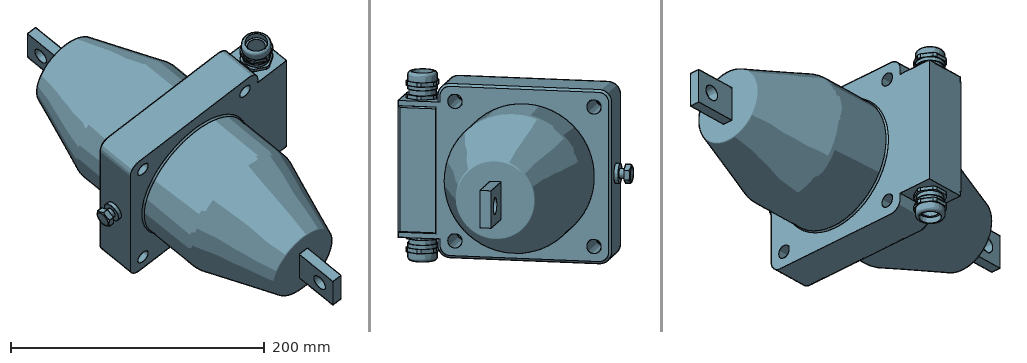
import cadquery as cq

body_length = 270.0
barrel_length = 128.7
barrel_radius = 56.5
tip_radius = 32.0
shoulder_fillet = 10.0
tip_fillet = 1.5

bar_length = 346.0
bar_thickness = 9.0
bar_width = 30.0
bar_hole_diameter = 13.0
bar_hole_spacing = 316.0

plate_side = 140.0
plate_back = -24.5
plate_thickness = 35.5
plate_corner_radius = 10.0
plate_chamfer_depth = 1.5
plate_chamfer_width = 2.0
mount_hole_diameter = 11.5
mount_hole_spacing = 112.0
collar_rise = 1.0
collar_length = 1.7

box_height = 110.0
box_top = 101.7
box_overlap = 3.5
cover_height = 101.7
cover_thickness = 2.0
cover_gap = 1.0
cover_side_bevel_width = 2.0
cover_side_bevel_depth = 1.0
cover_end_bevel_width = 1.0
cover_end_bevel_depth = 1.7

gland_y = 85.8
hex_flats = 24.2
hex_corner_diameter = 26.3
base_height = 2.95
neck_diameter = 21.8
neck_height = 4.0
ring_height = 3.0
nut_height = 3.5
cap_diameter = 23.5
cap_height = 7.3
cap_fillet = 2.8
mouth_diameter = 17.5
mouth_depth = 5.2
gland_bore_diameter = 14.2

washer_diameter = 16.0
washer_thickness = 3.3
shank_diameter = 8.0
shank_length = 4.5
head_corner_diameter = 15.5
head_height = 5.2
head_chamfer_length = 1.0
head_chamfer_width = 1.7

plate_mid = plate_back + plate_thickness / 2
plate_front = plate_back + plate_thickness
plate_edge = plate_side / 2


def make_body():
    half_body = body_length / 2
    half_barrel = barrel_length / 2
    body = (
        cq.Workplane("XY")
        .moveTo(-half_body, 0)
        .lineTo(-half_body, tip_radius)
        .lineTo(-half_barrel, barrel_radius)
        .lineTo(half_barrel, barrel_radius)
        .lineTo(half_body, tip_radius)
        .lineTo(half_body, 0)
        .close()
        .revolve(360, (0, 0, 0), (1, 0, 0))
    )
    body = body.edges("%CIRCLE").edges(cq.selectors.RadiusNthSelector(-1)).fillet(shoulder_fillet)
    return body.faces("<X or >X").edges().fillet(tip_fillet)


def make_bar():
    return (
        cq.Workplane("XY")
        .box(bar_length, bar_thickness, bar_width)
        .faces("<Y")
        .workplane(centerOption="CenterOfBoundBox")
        .rarray(bar_hole_spacing, 3.5, 2, 1)
        .hole(bar_hole_diameter)
    )


def make_plate():
    plate = (
        cq.Workplane("YZ", origin=(plate_back, 0, 0))
        .rect(plate_side, plate_side)
        .extrude(plate_thickness)
        .edges("|X")
        .fillet(plate_corner_radius)
    )
    return plate.faces("<X").chamfer(plate_chamfer_depth, plate_chamfer_width)


def make_collar():
    return (
        cq.Workplane("XY")
        .moveTo(plate_front, 0)
        .lineTo(plate_front, barrel_radius + collar_rise)
        .lineTo(plate_front + collar_length, barrel_radius)
        .lineTo(plate_front + collar_length, 0)
        .close()
        .revolve(360, (0, 0, 0), (1, 0, 0))
    )


def bevel_wedge(plane, edge, width, depth):
    cover_face = plate_back - cover_thickness
    return (
        cq.Workplane(plane)
        .moveTo(cover_face, edge)
        .lineTo(cover_face + depth, edge)
        .lineTo(cover_face, edge - width)
        .close()
        .extrude(bar_length, both=True)
    )


def make_terminal_box():
    box_bottom = plate_edge - box_overlap
    box = (
        cq.Workplane("XY")
        .box(plate_thickness, box_top - box_bottom, box_height, centered=(False, False, True))
        .translate((plate_back, box_bottom, 0))
    )
    cover_bottom = plate_edge + cover_gap
    cover = (
        cq.Workplane("XY")
        .box(cover_thickness, box_top - cover_bottom, cover_height, centered=(False, False, True))
        .translate((plate_back - cover_thickness, cover_bottom, 0))
    )
    cover = cover.cut(bevel_wedge("XY", box_top, cover_side_bevel_width, cover_side_bevel_depth))
    end_wedge = bevel_wedge("XZ", cover_height / 2, cover_end_bevel_width, cover_end_bevel_depth)
    cover = cover.cut(end_wedge).cut(end_wedge.mirror("XY"))
    return box.union(cover)


def make_gland():
    def disc(diameter, bottom, height):
        return (
            cq.Workplane("XY", origin=(plate_mid, gland_y, bottom))
            .circle(diameter / 2)
            .extrude(height)
        )

    def hexagon(bottom, height):
        prism = (
            cq.Workplane("XY", origin=(plate_mid, gland_y, bottom))
            .transformed(rotate=(0, 0, 90))
            .polygon(6, hex_flats, circumscribed=True)
            .extrude(height)
        )
        return prism.intersect(disc(hex_corner_diameter, bottom, height))

    base_bottom = box_height / 2
    neck_bottom = base_bottom + base_height
    ring_bottom = neck_bottom + neck_height
    nut_bottom = ring_bottom + ring_height
    cap_bottom = nut_bottom + nut_height
    cap_top = cap_bottom + cap_height

    cap = disc(cap_diameter, cap_bottom, cap_height).faces(">Z").edges().fillet(cap_fillet)
    mouth = disc(mouth_diameter, cap_top - mouth_depth, mouth_depth)
    return (
        hexagon(base_bottom, base_height)
        .union(disc(neck_diameter, neck_bottom, neck_height))
        .union(disc(cap_diameter, ring_bottom, ring_height))
        .union(hexagon(nut_bottom, nut_height))
        .union(cap)
        .cut(mouth)
    )


def make_bolt():
    def section(start):
        return cq.Workplane("XZ", origin=(plate_mid, -plate_edge - start, 0))

    head_start = washer_thickness + shank_length
    washer = section(0).circle(washer_diameter / 2).extrude(washer_thickness)
    shank = section(washer_thickness).circle(shank_diameter / 2).extrude(shank_length)
    head = (
        section(head_start)
        .transformed(rotate=(0, 0, 90))
        .polygon(6, head_corner_diameter)
        .extrude(head_height)
    )
    head_round = (
        section(head_start)
        .circle(head_corner_diameter / 2)
        .extrude(head_height)
        .faces("<Y")
        .chamfer(head_chamfer_length, head_chamfer_width)
    )
    head = head.intersect(head_round)
    return washer.union(shank).union(head)


def make_mount_holes():
    return (
        cq.Workplane("YZ", origin=(plate_back, 0, 0))
        .rarray(mount_hole_spacing, mount_hole_spacing, 2, 2)
        .circle(mount_hole_diameter / 2)
        .extrude(plate_thickness)
    )


def make_gland_bore():
    return (
        cq.Workplane("XY", origin=(plate_mid, gland_y, 0))
        .circle(gland_bore_diameter / 2)
        .extrude(plate_side, both=True)
    )


gland = make_gland()
result = (
    make_body()
    .union(make_bar())
    .union(make_plate())
    .union(make_collar())
    .union(make_terminal_box())
    .union(gland)
    .union(gland.mirror("XY"))
    .union(make_bolt())
    .cut(make_mount_holes())
    .cut(make_gland_bore())
)